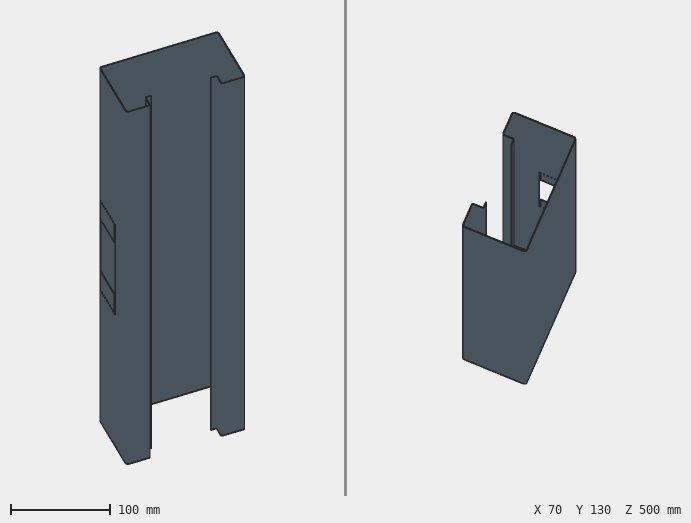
import cadquery as cq

length = 500.0
width = 70.0
depth = 130.0
sheet = 1.0
bend_radius = 3.0
lip_bend_radius = 2.0

mouth_half = 38.5
lip_back = 22.0
lip_tip = 32.5

cutout_left = -33.5
cutout_right = 5.5
cutout_half_height = 64.0
window_half_height = 37.0
left_slit = 2.0
right_slit = 1.5
tab_left = cutout_left + left_slit
tab_right = cutout_right - right_slit

perforation_count = 8
perforation_pitch = 4.0
perforation_width = 1.0
perforation_height = 1.5


def make_channel():
    """Extrude the folded sheet section along Z and round its eight bends."""
    back, front, side = -width / 2, width / 2, depth / 2
    lip_outer, lip_inner = (lip_back, mouth_half + sheet), (lip_back + sheet, mouth_half)
    mouth_outer, mouth_inner = (front, mouth_half), (front - sheet, mouth_half + sheet)
    front_outer, front_inner = (front, side), (front - sheet, side - sheet)
    back_outer, back_inner = (back, side), (back + sheet, side - sheet)
    bends = [
        (lip_outer, lip_inner, lip_bend_radius),
        (mouth_outer, mouth_inner, lip_bend_radius),
        (front_outer, front_inner, bend_radius),
        (back_outer, back_inner, bend_radius),
    ]
    face_a = [(lip_back + sheet, lip_tip), lip_inner, mouth_outer, front_outer, back_outer]
    face_b = [(lip_back, lip_tip), lip_outer, mouth_inner, front_inner, back_inner]
    outline = face_a + mirrored(face_a) + list(reversed(mirrored(face_b))) + list(reversed(face_b))
    body = cq.Workplane("XY").workplane(offset=-length / 2).polyline(outline).close().extrude(length)
    for outer, inner, outer_radius in bends:
        for sign in (1, -1):
            for (x, y), radius in ((outer, outer_radius), (inner, outer_radius - sheet)):
                edge = cq.selectors.NearestToPointSelector((x, sign * y, 0))
                body = body.edges("|Z").edges(edge).fillet(radius)
    return body


def mirrored(points):
    """Mirror points across Y = 0 and reverse them, to carry on a path from the +Y half."""
    return [(x, -y) for x, y in reversed(points)]


def wall_cutter(x_min, x_max, z_min, z_max):
    """Block reaching through the -Y wall over the given X and Z range."""
    y_min = -depth / 2 - sheet
    cut_depth = sheet + bend_radius
    block = cq.Workplane("XY").box(x_max - x_min, cut_depth, z_max - z_min, centered=False)
    return block.translate((x_min, y_min, z_min))


def cut_knockout(body):
    """Open the central window, slit both sides of the two tabs and perforate their roots."""
    body = body.cut(wall_cutter(cutout_left, cutout_right, -window_half_height, window_half_height))
    for x_min, x_max in ((cutout_left, tab_left), (tab_right, cutout_right)):
        body = body.cut(wall_cutter(x_min, x_max, -cutout_half_height, cutout_half_height))
    row_span = perforation_pitch * (perforation_count - 1)
    first_x = (tab_left + tab_right - row_span - perforation_width) / 2
    root = cutout_half_height - perforation_height
    for index in range(perforation_count):
        x_min = first_x + index * perforation_pitch
        x_max = x_min + perforation_width
        body = body.cut(wall_cutter(x_min, x_max, root, cutout_half_height))
        body = body.cut(wall_cutter(x_min, x_max, -cutout_half_height, -root))
    return body


result = cut_knockout(make_channel())